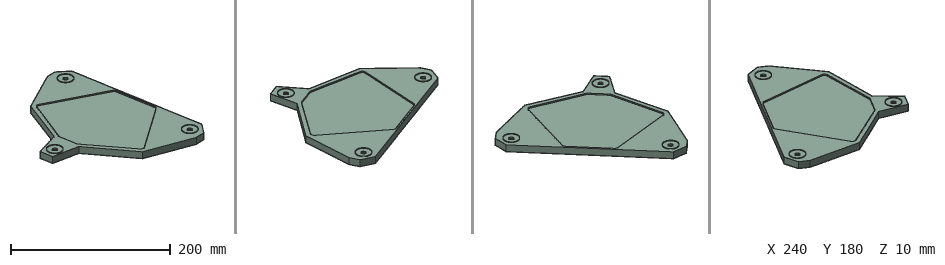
import cadquery as cq

length = 240.0
width = 180.0
thickness = 10.0

corner_chamfer = length / 16
side_end_y = 60.0
shoulder_x = 90.0
shoulder_y = -10.0
tab_root_half = 20.0
tab_root_y = -50.0
tab_tip_half = 10.0

recess_depth = 2.0
recess_top_half = 33.5
recess_top_y = width / 2 - 2.6
recess_side_half = 87.0
recess_side_y = -4.0
recess_bottom_half = 14.5
recess_bottom_y = -46.3
recess_corner_radius = 4.8

bore_diameter = 6.5
seat_diameter = 21.0
seat_depth = 1.0
lower_bore_diameter = 10.0
lower_bore_depth = 7.0
upper_hole_x = 100.0
upper_hole_y = 71.8
tab_hole_y = -73.2
hole_centres = [
    (-upper_hole_x, upper_hole_y),
    (upper_hole_x, upper_hole_y),
    (0, tab_hole_y),
]


def mirrored_prism(right_side, base_z, height):
    """Extrude a polygon whose right half, listed top to bottom, is mirrored about X = 0."""
    left_side = [(-x, y) for x, y in reversed(right_side)]
    return cq.Workplane("XY").workplane(offset=base_z).polyline(right_side + left_side).close().extrude(height)


def make_plate():
    half_length = length / 2
    half_width = width / 2
    right_side = [
        (half_length - corner_chamfer, half_width),
        (half_length, half_width - corner_chamfer),
        (half_length, side_end_y),
        (shoulder_x, shoulder_y),
        (tab_root_half, tab_root_y),
        (tab_tip_half, -half_width),
    ]
    return mirrored_prism(right_side, 0, thickness)


def make_recess():
    right_side = [
        (recess_top_half, recess_top_y),
        (recess_side_half, recess_side_y),
        (recess_bottom_half, recess_bottom_y),
    ]
    recess = mirrored_prism(right_side, thickness - recess_depth, recess_depth)
    return recess.edges("|Z").fillet(recess_corner_radius)


def make_cylinders(diameter, base_z, height):
    """Cylinders of one size at every mounting hole."""
    return cq.Workplane("XY").workplane(offset=base_z).pushPoints(hole_centres).circle(diameter / 2).extrude(height)


result = (
    make_plate()
    .cut(make_recess())
    .cut(make_cylinders(bore_diameter, 0, thickness))
    .cut(make_cylinders(seat_diameter, thickness - seat_depth, seat_depth))
    .cut(make_cylinders(lower_bore_diameter, 0, lower_bore_depth))
)